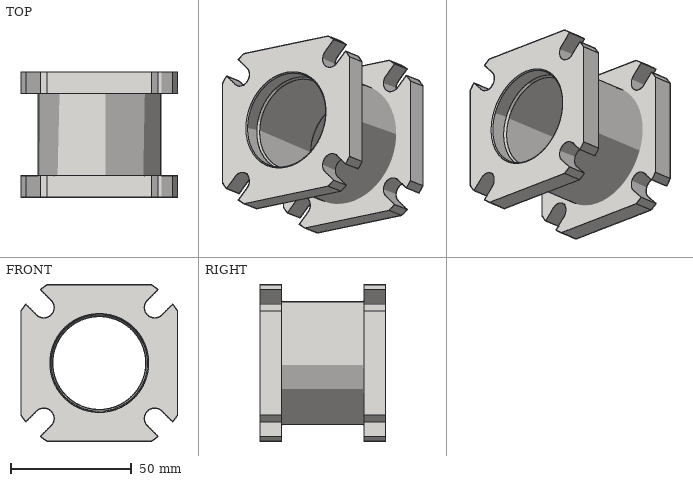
import cadquery as cq
import math

length = 52.0
flange_side = 65.0
flange_corner_diameter = 78.0
flange_thickness = 9.0

tube_diameter = 51.0
root_fillet = 0.2

slot_width = 8.5
bolt_circle_diameter = 65.0
slot_count = 4

bore_diameter = 38.5
seat_diameter = 40.0
seat_depth = 8.0
seat_taper_length = 1.0
mouth_chamfer = 0.5

half_length = length / 2
gap_end = half_length - flange_thickness


def cylinder_along_y(diameter, start, end):
    """Cylinder on the Y axis between two Y positions."""
    return cq.Workplane("XZ", origin=(0, start, 0)).circle(diameter / 2).extrude(start - end)


def bolt_slot(angle):
    """Round-bottomed slot, open outward, in the XZ plane at the given angle."""
    bolt_radius = bolt_circle_diameter / 2
    run_out = flange_corner_diameter / 2
    round_end = (
        cq.Workplane("XZ").center(bolt_radius, 0).circle(slot_width / 2).extrude(half_length, both=True)
    )
    channel = cq.Workplane("XY").box(run_out, length, slot_width)
    channel = channel.translate((bolt_radius + run_out / 2, 0, 0))
    return round_end.union(channel).rotate((0, 0, 0), (0, 1, 0), angle)


def tube():
    """Tube between the flanges, with a small fillet where it meets each one."""
    tube_radius = tube_diameter / 2
    root_radius = tube_radius + root_fillet
    straight_end = gap_end - root_fillet
    arc_inset = root_fillet * (1 - math.sqrt(0.5))
    arc_mid_radius = tube_radius + arc_inset
    arc_mid_y = gap_end - arc_inset
    outline = (
        cq.Workplane("XY")
        .moveTo(0, -gap_end)
        .lineTo(root_radius, -gap_end)
        .threePointArc((arc_mid_radius, -arc_mid_y), (tube_radius, -straight_end))
        .lineTo(tube_radius, straight_end)
        .threePointArc((arc_mid_radius, arc_mid_y), (root_radius, gap_end))
        .lineTo(0, gap_end)
        .close()
    )
    return outline.revolve(360, (0, 0, 0), (0, 1, 0))


def flanged_blank():
    """Square flanges with rounded corners, joined by the tube."""
    square = cq.Workplane("XY").box(flange_side, length, flange_side)
    flanges = square.intersect(cylinder_along_y(flange_corner_diameter, -half_length, half_length))
    slot_spacing = 360 / slot_count
    for corner in range(slot_count):
        flanges = flanges.cut(bolt_slot((corner + 0.5) * slot_spacing))
    gap = cq.Workplane("XY").box(flange_side, 2 * gap_end, flange_side)
    return flanges.cut(gap).union(tube())


def bore():
    """Through bore, revolved about the Y axis."""
    bore_radius = bore_diameter / 2
    seat_radius = seat_diameter / 2
    mouth_radius = seat_radius + mouth_chamfer
    seat_floor = half_length - seat_depth
    chamfer_start = half_length - mouth_chamfer
    half_profile = [
        (bore_radius, seat_floor),
        (seat_radius, seat_floor + seat_taper_length),
        (seat_radius, chamfer_start),
        (mouth_radius, half_length),
    ]
    mirrored_profile = [(radius, -y) for radius, y in reversed(half_profile)]
    outline = [(0, -half_length)] + mirrored_profile + half_profile + [(0, half_length)]
    return cq.Workplane("XY").polyline(outline).close().revolve(360, (0, 0, 0), (0, 1, 0))


result = flanged_blank().cut(bore())